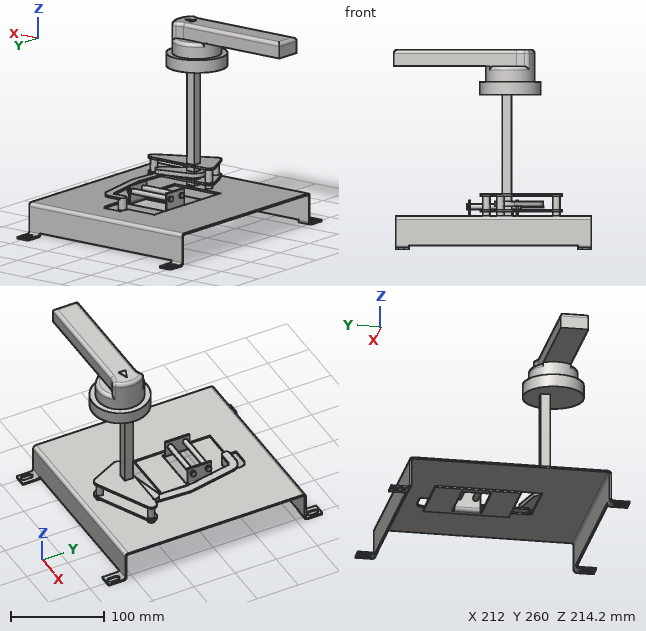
import cadquery as cq
import math


base_length = 210.0
base_width = 220.0
base_height = 36.0
sheet = 2.0
bend_inner = 2.0
bend_outer = bend_inner + sheet
feet_span = 260.0
foot_width = 14.5
slot_length = 14.0
slot_width = 6.5
slot_x = 98.8
slot_y = 121.0
plate_underside = base_height - sheet

window_half = 31.6
window_y_min = -48.5
window_y_max = 66.0
notch_x_min = 5.5
notch_y_max = 78.0
notch_radius = 8.5

slide_overlap = 4.0
slide_half = window_half + slide_overlap
slide_y_min = -24.7
slide_y_max = 69.0
slide_gap = 1.0
slide_top = plate_underside - slide_gap
slide_bottom = slide_top - sheet
opening_half = 28.7
opening_y_min = 6.5
opening_y_max = 38.7
tab_y_min = 8.2
tab_y_max = 37.8
short_tab_y_max = 36.6
tab_top = 52.5
rod_diameter = 6.0
rod_x_min = -28.4
rod_x_max = 29.7
rod_spacing = 18.5
rod_z = 45.7

shaft_x = 14.5
shaft_y = -59.7
shaft_side = 10.2
lever_hub_radius = 13.2
lever_tip = (47.3, -44.6)
lever_tip_radius = 6.3
lever_bottom = 46.4
lever_thickness = 5.0

link_width = 9.6
link_thickness = 2.0
link_pin = (16.5, 60.2)
link_corner = (37.3, 60.2)
link_knee = (49.3, -3.0)
link_corner_radius = 8.5
link_knee_radius = 20.0
link_bottom = lever_bottom - link_thickness

pillar_points = [(-7.6, -58.3), (67.6, -58.3), (7.4, -88.8)]
pillar_diameter = 8.0
bearing_corner_radius = 6.3
bearing_thickness = 2.2
bearing_bottoms = (40.1, 57.2)

knob_x = 18.0
knob_y = -69.7
flange_radius = 33.0
flange_bottom = 165.6
flange_top = 179.6
hub_radius = 26.5
hub_top = 196.6
knob_top = 214.2
knob_round = 4.0
handle_end_x = -107.0
handle_half = 15.0
flare_start = 6.5
flare_radius = 16.0
pointer_start = 4.4
pointer_length = 11.5
pointer_half = 4.2
pointer_depth = 0.5


def block(x_range, y_range, z_range):
    """Box given by its limits along each axis."""
    size = [high - low for low, high in (x_range, y_range, z_range)]
    return cq.Workplane("XY").box(*size, centered=False).translate((x_range[0], y_range[0], z_range[0]))


def cylinder(center, radius, bottom, top):
    """Upright cylinder between two heights."""
    return cq.Workplane("XY", origin=(0, 0, bottom)).center(*center).circle(radius).extrude(top - bottom)


def make_base():
    """Plate folded down at both Y ends, standing on four slotted feet."""
    half = base_width / 2
    foot_end = feet_span / 2
    outline = [
        (-foot_end, 0),
        (-half + sheet, 0),
        (-half + sheet, plate_underside),
        (half - sheet, plate_underside),
        (half - sheet, 0),
        (foot_end, 0),
        (foot_end, sheet),
        (half, sheet),
        (half, base_height),
        (-half, base_height),
        (-half, sheet),
        (-foot_end, sheet),
    ]
    base = cq.Workplane("YZ", origin=(-base_length / 2, 0, 0))
    base = base.polyline(outline).close().extrude(base_length)
    for side in (-half, half):
        inward = -math.copysign(sheet, side)
        outer_bends = [(side, base_height), (side + inward, 0)]
        inner_bends = [(side + inward, plate_underside), (side, sheet)]
        for bends, radius in ((outer_bends, bend_outer), (inner_bends, bend_inner)):
            for y, z in bends:
                near = cq.selectors.NearestToPointSelector((0, y, z))
                base = base.edges("|X").edges(near).fillet(radius)
    between_feet = base_length / 2 - foot_width
    base = base.cut(block((-between_feet, between_feet), (-foot_end, foot_end), (0, bend_outer)))
    slots = (
        cq.Workplane("XY")
        .rect(2 * slot_x, 2 * slot_y, forConstruction=True)
        .vertices()
        .slot2D(slot_length, slot_width, 90)
        .extrude(sheet)
    )
    return base.cut(slots).cut(make_window())


def make_window():
    """Volume cut from the plate: a rectangle with a round-cornered notch."""
    z_range = (plate_underside, base_height)
    window = block((-window_half, window_half), (window_y_min, window_y_max), z_range)
    notch = block((notch_x_min, window_half), (window_y_min, notch_y_max), z_range)
    return window.union(notch.edges("|Z and >X and >Y").fillet(notch_radius))


def make_slide():
    """Flat slide whose two tabs carry a pair of cross rods."""
    z_range = (slide_bottom, slide_top)
    slide = block((-slide_half, slide_half), (slide_y_min, slide_y_max), z_range)
    slide = slide.cut(block((-opening_half, opening_half), (opening_y_min, opening_y_max), z_range))
    slide = slide.union(make_tab(tab_y_max).mirror("YZ")).union(make_tab(short_tab_y_max))
    middle = (tab_y_min + tab_y_max) / 2
    for y in (middle - rod_spacing / 2, middle + rod_spacing / 2):
        rod = cq.Workplane("YZ", origin=(rod_x_min, y, rod_z)).circle(rod_diameter / 2)
        slide = slide.union(rod.extrude(rod_x_max - rod_x_min))
    return slide


def make_tab(y_max):
    """Upright tab that bends out of the slide at the +X end of the opening."""
    outer_face = opening_half - bend_inner
    inner_face = outer_face - sheet
    bend_top = slide_top + bend_inner
    diagonal = math.sqrt(0.5)
    return (
        cq.Workplane("XZ", origin=(0, y_max, 0))
        .moveTo(opening_half, slide_bottom)
        .lineTo(opening_half, slide_top)
        .threePointArc(
            (opening_half - bend_inner * diagonal, bend_top - bend_inner * diagonal),
            (outer_face, bend_top),
        )
        .lineTo(outer_face, tab_top)
        .lineTo(inner_face, tab_top)
        .lineTo(inner_face, bend_top)
        .threePointArc(
            (opening_half - bend_outer * diagonal, bend_top - bend_outer * diagonal),
            (opening_half, slide_bottom),
        )
        .close()
        .extrude(y_max - tab_y_min)
    )


def make_shaft():
    """Square shaft from the base plate up to the knob."""
    half = shaft_side / 2
    return block(
        (shaft_x - half, shaft_x + half),
        (shaft_y - half, shaft_y + half),
        (base_height, flange_bottom),
    )


def make_lever():
    """Plate bounded by a hub circle, a tip circle and the two lines tangent to both."""
    hub = (shaft_x, shaft_y)
    run = math.dist(hub, lever_tip)
    heading = math.atan2(lever_tip[1] - hub[1], lever_tip[0] - hub[0])
    opening = math.acos((lever_hub_radius - lever_tip_radius) / run)
    left = heading + opening
    right = heading - opening

    def hub_rim(angle):
        x = hub[0] + lever_hub_radius * math.cos(angle)
        y = hub[1] + lever_hub_radius * math.sin(angle)
        return (x, y)

    def tip_rim(angle):
        x = lever_tip[0] + lever_tip_radius * math.cos(angle)
        y = lever_tip[1] + lever_tip_radius * math.sin(angle)
        return (x, y)

    return (
        cq.Workplane("XY", origin=(0, 0, lever_bottom))
        .moveTo(*hub_rim(right))
        .lineTo(*tip_rim(right))
        .threePointArc(tip_rim(heading), tip_rim(left))
        .lineTo(*hub_rim(left))
        .threePointArc(hub_rim(heading + math.pi), hub_rim(right))
        .close()
        .extrude(lever_thickness)
    )


def make_link():
    """Constant-width strip along a bent center line, with the pin under its far end."""
    half_width = link_width / 2
    route = [cq.Vector(x, y, link_bottom) for x, y in (link_pin, link_corner, link_knee, lever_tip)]
    center_line = cq.Wire.makePolygon(route)
    for bend, radius in ((link_corner, link_corner_radius), (link_knee, link_knee_radius)):
        vertex = min(center_line.Vertices(), key=lambda v: math.dist((v.X, v.Y), bend))
        center_line = center_line.fillet(radius, [vertex])
    outline = center_line.offset2D(half_width)[0]
    link = cq.Workplane("XY", origin=(0, 0, link_bottom)).add(outline).toPending().extrude(link_thickness)
    pin = cylinder(link_pin, half_width, slide_top, link_bottom + link_thickness)
    return link.union(pin)


def make_bearing():
    """Two round-cornered triangular plates held by pillars."""
    bearing = None
    top = bearing_bottoms[-1] + bearing_thickness
    for point in pillar_points:
        pillar = cylinder(point, pillar_diameter / 2, base_height, top)
        bearing = pillar if bearing is None else bearing.union(pillar)
    for bottom in bearing_bottoms:
        plate = cq.Workplane("XY", origin=(0, 0, bottom)).polyline(pillar_points).close()
        plate = plate.offset2D(bearing_corner_radius).extrude(bearing_thickness)
        bearing = bearing.union(plate)
    return bearing


def make_handle():
    """Straight grip that flares out to the rim of the hub."""
    center = (flare_start, handle_half + flare_radius)
    reach = math.hypot(*center)
    along = (reach**2 + hub_radius**2 - flare_radius**2) / (2 * reach)
    corner_angle = math.atan2(center[1], center[0]) - math.acos(along / hub_radius)
    corner = (hub_radius * math.cos(corner_angle), hub_radius * math.sin(corner_angle))
    half_turn = math.asin((corner[0] - flare_start) / flare_radius) / 2
    flare_mid = (
        flare_start + flare_radius * math.sin(half_turn),
        center[1] - flare_radius * math.cos(half_turn),
    )
    grip_end = handle_end_x - knob_x
    handle = (
        cq.Workplane("XY", origin=(knob_x, knob_y, flange_top))
        .moveTo(grip_end, -handle_half)
        .lineTo(flare_start, -handle_half)
        .threePointArc((flare_mid[0], -flare_mid[1]), (corner[0], -corner[1]))
        .threePointArc((hub_radius, 0), corner)
        .threePointArc(flare_mid, (flare_start, handle_half))
        .lineTo(grip_end, handle_half)
        .close()
        .extrude(knob_top - flange_top)
    )
    top_edges = handle.faces(">Z").edges().vals()
    flare_edges = []
    for side in (-1, 1):
        corner_point = (knob_x + corner[0], knob_y + side * corner[1], hub_top)
        near = cq.selectors.NearestToPointSelector(corner_point)
        flare_edges.append(handle.edges("|Z").edges(near).val())
    handle = handle.newObject(top_edges + flare_edges).fillet(knob_round)
    below_grip = block(
        (handle_end_x, knob_x + hub_radius),
        (knob_y - hub_radius, knob_y + hub_radius),
        (flange_top, hub_top),
    )
    handle = handle.cut(below_grip.cut(cylinder((knob_x, knob_y), hub_radius, flange_top, hub_top)))
    return handle.cut(make_pointer())


def make_pointer():
    """Triangular mark sunk into the top of the handle."""
    return (
        cq.Workplane("XY", origin=(knob_x, knob_y, knob_top - pointer_depth))
        .moveTo(pointer_start, -pointer_half)
        .lineTo(pointer_start + pointer_length, 0)
        .lineTo(pointer_start, pointer_half)
        .close()
        .extrude(pointer_depth)
    )


def make_knob():
    """Stepped round knob carrying the handle."""
    flange = cylinder((knob_x, knob_y), flange_radius, flange_bottom, flange_top)
    hub = cylinder((knob_x, knob_y), hub_radius, flange_top, hub_top)
    hub = hub.faces(">Z").edges().fillet(knob_round)
    return flange.union(hub).union(make_handle())


result = make_base()
for piece in (make_slide(), make_bearing(), make_shaft(), make_lever(), make_link(), make_knob()):
    result = result.union(piece)